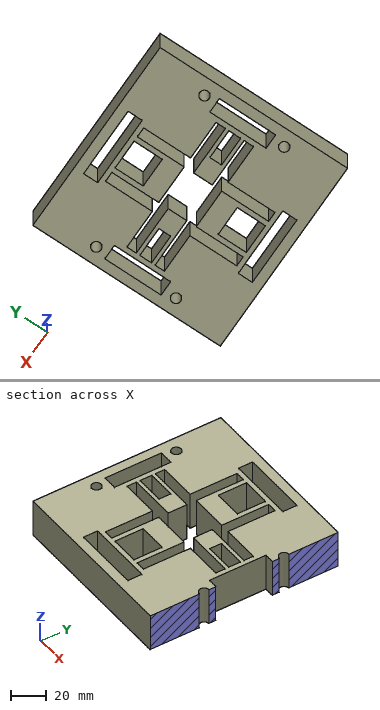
import cadquery as cq

INCH = 25.4
SIDE = 5.0 * INCH
THICKNESS = 1.0 * INCH

CORE_SIZE = 1.0 * INCH
SLOT_WIDTH = 0.25 * INCH
SLOT_REACH = 1.75 * INCH

WINDOW_LENGTH = 0.75 * INCH
Y_WINDOW_WIDTH = 0.75 * INCH
X_WINDOW_WIDTH = 0.3125 * INCH

EDGE_MARGIN = 0.25 * INCH
EDGE_SLOT_WIDTH = 0.375 * INCH
X_EDGE_SLOT_LENGTH = 1.5 * INCH
Y_EDGE_SLOT_LENGTH = 1.75 * INCH

HOLE_DIAMETER = 0.25 * INCH
HOLE_X = SIDE / 2 - EDGE_MARGIN - HOLE_DIAMETER / 2
HOLE_Y = 1.0625 * INCH


def through_box(x_size, y_size, x=0, y=0):
    """Rectangular cutter running the full thickness, centred on (x, y)."""
    return cq.Workplane("XY").center(x, y).rect(x_size, y_size).extrude(THICKNESS)


def cut_cross(body):
    """Cut the core and the slots on both sides of each tongue."""
    body = body.cut(through_box(CORE_SIZE, CORE_SIZE))
    x_slot_y = (CORE_SIZE - SLOT_WIDTH) / 2
    y_slot_x = (CORE_SIZE + SLOT_WIDTH) / 2
    y_slot_length = SLOT_REACH - CORE_SIZE / 2
    y_slot_y = SLOT_REACH - y_slot_length / 2
    for y_sign in (-1, 1):
        body = body.cut(through_box(2 * SLOT_REACH, SLOT_WIDTH, 0, y_sign * x_slot_y))
        for x_sign in (-1, 1):
            body = body.cut(through_box(SLOT_WIDTH, y_slot_length, x_sign * y_slot_x, y_sign * y_slot_y))
    return body


def cut_windows(body):
    """Cut one window into each tongue, flush with the outer ends of the slots."""
    offset = SLOT_REACH - WINDOW_LENGTH / 2
    for sign in (-1, 1):
        body = body.cut(through_box(WINDOW_LENGTH, X_WINDOW_WIDTH, sign * offset, 0))
        body = body.cut(through_box(Y_WINDOW_WIDTH, WINDOW_LENGTH, 0, sign * offset))
    return body


def cut_edge_slots(body):
    """Cut one long slot along each of the four sides."""
    offset = SIDE / 2 - EDGE_MARGIN - EDGE_SLOT_WIDTH / 2
    for sign in (-1, 1):
        body = body.cut(through_box(EDGE_SLOT_WIDTH, X_EDGE_SLOT_LENGTH, sign * offset, 0))
        body = body.cut(through_box(Y_EDGE_SLOT_LENGTH, EDGE_SLOT_WIDTH, 0, sign * offset))
    return body


def cut_holes(body):
    """Drill the four round through holes at the ends of the X-side slots."""
    drills = (
        cq.Workplane("XY")
        .rect(2 * HOLE_X, 2 * HOLE_Y, forConstruction=True)
        .vertices()
        .circle(HOLE_DIAMETER / 2)
        .extrude(THICKNESS)
    )
    return body.cut(drills)


block = through_box(SIDE, SIDE)
result = cut_holes(cut_edge_slots(cut_windows(cut_cross(block))))